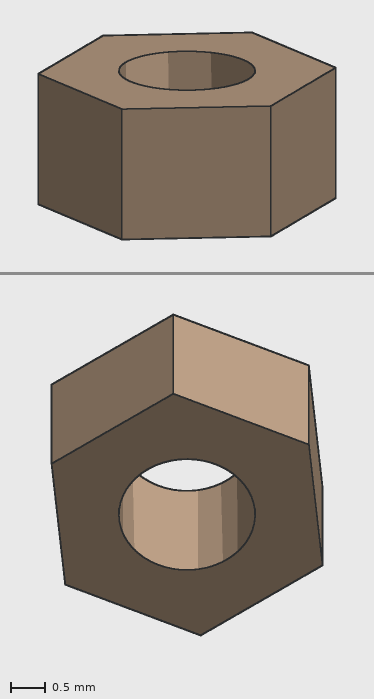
import cadquery as cq
import math

overall_y = 4.24
height = 2.0
bore_diameter = 2.0
corner_angle = 15.2

top_corner_angle = math.radians(corner_angle + 60)
across_corners = overall_y / math.sin(top_corner_angle)

body = (
    cq.Workplane("XY")
    .polygon(6, across_corners)
    .extrude(height)
    .rotate((0, 0, 0), (0, 0, 1), corner_angle)
)

bore = cq.Workplane("XY").circle(bore_diameter / 2).extrude(height)

result = body.cut(bore)